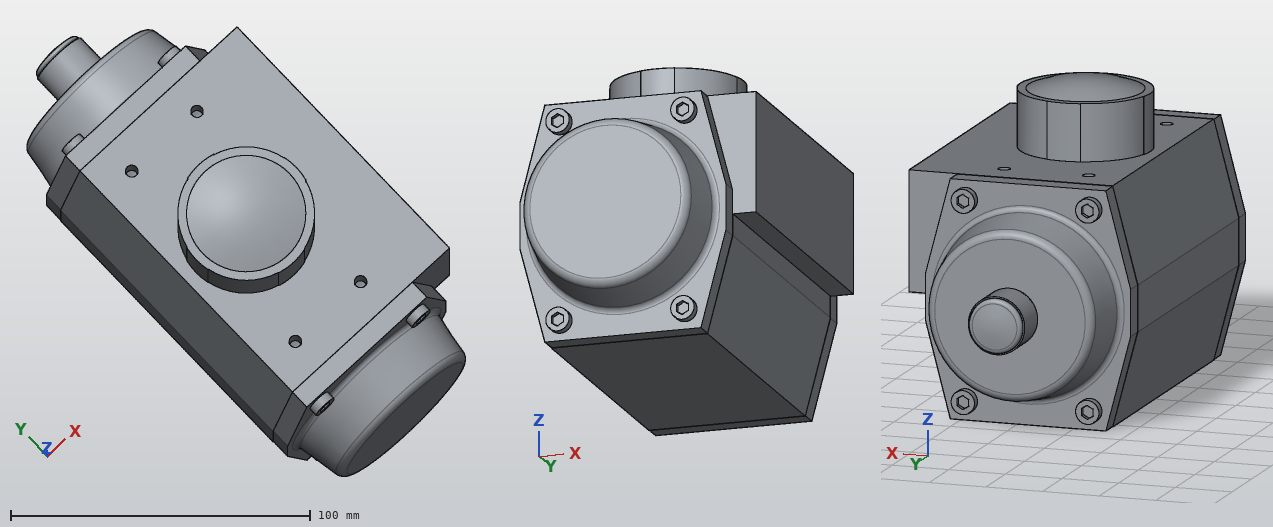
import cadquery as cq
import math


body_length = 103.9
half_height = 41.5
face_half_width = 27.5
side_half_height = 8.0
body_half_width = 36.5
plate_half_width = 36.3
plate_half_height = 41.3
plate_thickness = 7.0

block_side_x = 44.5
block_bottom_z = -0.5

cap_height = 18.5
cap_base_radius = 32.3
cap_draft_angle = 10
cap_rim_fillet = 3.0
cap_base_fillet = 2.0

stop_radius = 10.0
stop_shank_length = 13.2
stop_shoulder_radius = 9.5
stop_shoulder_height = 0.5
stop_round = 1.5
stop_dome_height = 1.0

screw_x = 22.0
screw_z = 34.5
screw_head_diameter = 8.3
screw_head_height = 3.1
socket_flats = 4.1
socket_depth = 1.7

hole_diameter = 4.1
hole_depth = 8.0
hole_spacing_x = 30.0
hole_spacing_y = 80.0
drill_point_angle = 118

indicator_radius = 22.9
indicator_height = 20.0
indicator_dome_radius = 20.0
indicator_dome_height = 4.1
window_projection = 0.2
window_half_angles = {0: 13, 90: 15, 180: 13, 270: 15}

body_end = body_length / 2
plate_end = body_end + plate_thickness
cap_end = plate_end + cap_height


def eight_sided_prism(half_width, top_z, y_start, length):
    """Prism along +Y with flat top and bottom, sloped shoulders and short vertical sides."""
    quarter = [(face_half_width, top_z), (half_width, side_half_height)]
    right_side = quarter + [(x, -z) for x, z in reversed(quarter)]
    left_side = [(-x, -z) for x, z in right_side]
    plane = cq.Workplane("XZ", origin=(0, y_start, 0))
    return plane.polyline(right_side + left_side).close().extrude(-length)


def side_block():
    return cq.Workplane("XY").box(
        block_side_x, body_length, half_height - block_bottom_z, centered=(False, True, False)
    ).translate((0, 0, block_bottom_z))


def plate_with_cap():
    """End plate of the +Y end with its drafted cap, rounded at the rim and blended at the foot."""
    plate = eight_sided_prism(plate_half_width, plate_half_height, body_end, plate_thickness)
    cap = (
        cq.Workplane("XZ", origin=(0, plate_end, 0))
        .circle(cap_base_radius)
        .extrude(-cap_height, taper=cap_draft_angle)
        .faces(">Y")
        .edges()
        .fillet(cap_rim_fillet)
    )
    foot_zone = cq.selectors.BoxSelector(
        (-body_half_width, plate_end - cap_base_fillet, -half_height),
        (body_half_width, plate_end + cap_base_fillet, half_height),
    )
    return plate.union(cap).edges("%CIRCLE").edges(foot_zone).fillet(cap_base_fillet)


def stop_screw():
    """Round stud on the +Y cap with a shoulder at both ends and a rounded, domed tip."""
    shank_start = cap_end + stop_shoulder_height
    shank_end = shank_start + stop_shank_length
    round_start = shank_end + stop_shoulder_height
    dome_base = round_start + stop_round
    dome_radius = stop_shoulder_radius - stop_round
    dome_sphere_radius = (dome_radius**2 + stop_dome_height**2) / (2 * stop_dome_height)
    return (
        cq.Workplane("XY")
        .moveTo(0, plate_end)
        .lineTo(stop_shoulder_radius, plate_end)
        .lineTo(stop_shoulder_radius, shank_start)
        .lineTo(stop_radius, shank_start)
        .lineTo(stop_radius, shank_end)
        .lineTo(stop_shoulder_radius, shank_end)
        .lineTo(stop_shoulder_radius, round_start)
        .radiusArc((dome_radius, dome_base), -stop_round)
        .radiusArc((0, dome_base + stop_dome_height), -dome_sphere_radius)
        .close()
        .revolve(360, (0, 0, 0), (0, 1, 0))
    )


def corner_screws():
    """Four socket head screws on the +Y plate."""
    def at_corners(y):
        plane = cq.Workplane("XZ", origin=(0, y, 0))
        return plane.rect(2 * screw_x, 2 * screw_z, forConstruction=True).vertices()

    head_end = plate_end + screw_head_height
    heads = at_corners(body_end).circle(screw_head_diameter / 2).extrude(body_end - head_end)
    sockets = at_corners(head_end).polygon(6, socket_flats, circumscribed=True).extrude(socket_depth)
    return heads.cut(sockets)


def mounting_holes():
    """Blind drilled holes with conical bottoms."""
    hole_radius = hole_diameter / 2
    point_height = hole_radius / math.tan(math.radians(drill_point_angle / 2))
    drill = (
        cq.Workplane("XZ")
        .polyline([(0, 0), (hole_radius, 0), (hole_radius, -hole_depth), (0, -hole_depth - point_height)])
        .close()
        .revolve(360, (0, 0, 0), (0, 1, 0))
    )
    return (
        cq.Workplane("XY", origin=(0, 0, half_height))
        .rect(hole_spacing_x, hole_spacing_y, forConstruction=True)
        .vertices()
        .eachpoint(lambda place: drill.val().moved(place))
    )


def window_sector(direction, half_angle):
    """Wedge of the indicator height covering one window, reaching past the indicator wall."""
    reach = 2 * indicator_radius
    half_width = reach * math.tan(math.radians(half_angle))
    return (
        cq.Workplane("XY")
        .polyline([(0, 0), (reach, -half_width), (reach, half_width)])
        .close()
        .extrude(indicator_height)
        .rotate((0, 0, 0), (0, 0, 1), direction)
    )


def indicator():
    """Round indicator with four slightly raised windows and a domed lens."""
    drum = cq.Workplane("XY").circle(indicator_radius).extrude(indicator_height)
    window_ring = cq.Workplane("XY").circle(indicator_radius + window_projection).extrude(indicator_height)
    for direction, half_angle in window_half_angles.items():
        drum = drum.union(window_ring.intersect(window_sector(direction, half_angle)))

    lens_top = indicator_height + indicator_dome_height
    lens_sphere_radius = (indicator_dome_radius**2 + indicator_dome_height**2) / (2 * indicator_dome_height)
    lens = (
        cq.Workplane("XZ")
        .moveTo(0, 0)
        .lineTo(indicator_dome_radius, 0)
        .lineTo(indicator_dome_radius, indicator_height)
        .radiusArc((0, lens_top), -lens_sphere_radius)
        .close()
        .revolve(360, (0, 0, 0), (0, 1, 0))
    )
    return drum.union(lens).translate((0, 0, half_height))


body = eight_sided_prism(body_half_width, half_height, -body_end, body_length)
body = body.union(side_block()).cut(mounting_holes())

capped_end = plate_with_cap().union(corner_screws())
result = (
    body.union(capped_end)
    .union(capped_end.mirror("XZ"))
    .union(stop_screw())
    .union(indicator())
)